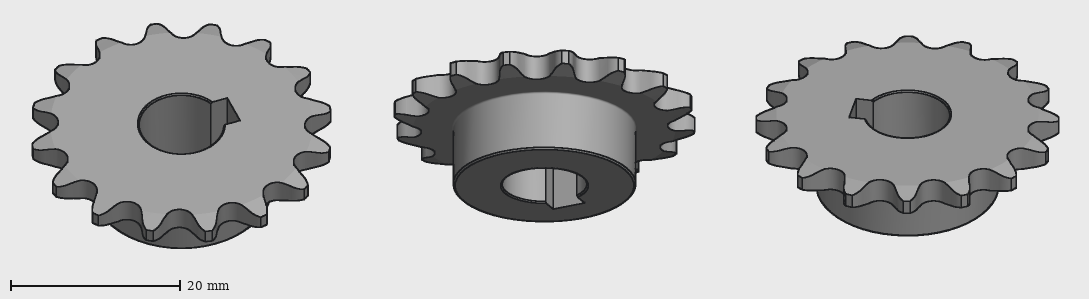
import cadquery as cq
import math


teeth = 16
tip_diameter = 35.75
pitch_radius = 16.25
seat_diameter = 3.4
seat_half_angle = math.radians(55)
working_radius = 8.63
working_angle = math.radians(9)
straight_length = 0.1
topping_radius = 2.57

plate_thickness = 2.95
bevel_start_radius = 15.5
bevel_angle = math.radians(15)

hub_radius = 10.77
total_height = 10.28
hub_chamfer = 0.2
hub_root_fillet = 0.2

bore_radius = 5.0
bore_chamfer = 0.18
keyway_width = 4.12
keyway_top = 6.62

half_pitch_angle = math.pi / teeth
tip_radius = tip_diameter / 2
seat_radius = seat_diameter / 2
plate_top = total_height
plate_bottom = total_height - plate_thickness


def point_on_circle(center, radius, slope):
    """Point on the lower side of a circle where its tangent has the given slope angle.

    A negative radius gives the point on the upper side instead.
    """
    return (center[0] + radius * math.sin(slope), center[1] - radius * math.cos(slope))


def flank_points():
    """Right flank of the tooth space centred on +Y, from the end of its seat to the tooth tip."""
    seat_center = (0, pitch_radius)
    seat_end = point_on_circle(seat_center, seat_radius, seat_half_angle)

    working_center = point_on_circle(seat_end, -working_radius, seat_half_angle)
    flank_slope = seat_half_angle + working_angle
    working_middle = point_on_circle(working_center, working_radius, flank_slope - working_angle / 2)
    working_end = point_on_circle(working_center, working_radius, flank_slope)

    straight_end = (
        working_end[0] + straight_length * math.cos(flank_slope),
        working_end[1] + straight_length * math.sin(flank_slope),
    )

    topping_center = point_on_circle(straight_end, topping_radius, flank_slope)
    center_distance = math.hypot(*topping_center)
    center_direction = math.atan2(topping_center[1], topping_center[0])
    tip_offset = math.acos(
        (center_distance**2 + tip_radius**2 - topping_radius**2) / (2 * center_distance * tip_radius)
    )
    tip_direction = center_direction + tip_offset
    tip = (tip_radius * math.cos(tip_direction), tip_radius * math.sin(tip_direction))
    tip_slope = math.atan2(topping_center[0] - tip[0], tip[1] - topping_center[1])
    topping_middle = point_on_circle(topping_center, -topping_radius, (flank_slope + tip_slope) / 2)

    return [seat_end, working_middle, working_end, straight_end, topping_middle, tip]


def turned(point, angle):
    """The point turned clockwise about the axis."""
    x, y = point
    return (
        x * math.cos(angle) + y * math.sin(angle),
        y * math.cos(angle) - x * math.sin(angle),
    )


def make_outline():
    """Closed outline of all the teeth, drawn clockwise."""
    right_flank = flank_points()
    left_flank = [(-x, y) for x, y in reversed(right_flank)]
    root = (0, pitch_radius - seat_radius)
    top = (0, tip_radius)

    outline = cq.Workplane("XY", origin=(0, 0, plate_bottom)).moveTo(*left_flank[-1])
    for tooth in range(teeth):
        space_angle = 2 * half_pitch_angle * tooth
        tooth_angle = space_angle + half_pitch_angle
        next_space_angle = tooth_angle + half_pitch_angle

        seat_end, working_middle, working_end, straight_end, topping_middle, tip = [
            turned(point, space_angle) for point in right_flank
        ]
        outline = (
            outline.threePointArc(turned(root, space_angle), seat_end)
            .threePointArc(working_middle, working_end)
            .lineTo(*straight_end)
            .threePointArc(topping_middle, tip)
        )

        tip, topping_middle, straight_end, working_end, working_middle, seat_end = [
            turned(point, next_space_angle) for point in left_flank
        ]
        outline = (
            outline.threePointArc(turned(top, tooth_angle), tip)
            .threePointArc(topping_middle, straight_end)
            .lineTo(*working_end)
            .threePointArc(working_middle, seat_end)
        )
    return outline.close()


def make_plate():
    """Toothed plate with both sides of the teeth bevelled."""
    envelope_radius = tip_radius + 0.35
    envelope_drop = (envelope_radius - bevel_start_radius) * math.tan(bevel_angle)
    envelope = (
        cq.Workplane("XZ")
        .polyline([
            (0, plate_bottom),
            (bevel_start_radius, plate_bottom),
            (envelope_radius, plate_bottom + envelope_drop),
            (envelope_radius, plate_top - envelope_drop),
            (bevel_start_radius, plate_top),
            (0, plate_top),
        ])
        .close()
        .revolve(360, (0, 0, 0), (0, 1, 0))
    )
    return make_outline().extrude(plate_thickness).intersect(envelope)


def make_hub():
    """Round hub with a chamfered lower rim."""
    return cq.Workplane("XY").circle(hub_radius).extrude(plate_bottom).faces("<Z").chamfer(hub_chamfer)


def make_bore():
    """Cutter for the bore, chamfered at both ends, and its keyway toward +Y."""
    mouth_radius = bore_radius + bore_chamfer
    bore = (
        cq.Workplane("XZ")
        .polyline([
            (0, 0),
            (mouth_radius, 0),
            (bore_radius, bore_chamfer),
            (bore_radius, plate_top - bore_chamfer),
            (mouth_radius, plate_top),
            (0, plate_top),
        ])
        .close()
        .revolve(360, (0, 0, 0), (0, 1, 0))
    )
    keyway = cq.Workplane("XY").box(keyway_width, keyway_top, plate_top, centered=(True, False, False))
    return bore.union(keyway)


def hub_root_edges():
    """Selector of the edge where the hub meets the underside of the plate."""
    reach = hub_radius + 0.35
    slack = 0.05
    return cq.selectors.BoxSelector(
        (-reach, -reach, plate_bottom - slack),
        (reach, reach, plate_bottom + slack),
        boundingbox=True,
    )


body = make_plate().union(make_hub())
body = body.edges(hub_root_edges()).fillet(hub_root_fillet)
result = body.cut(make_bore())